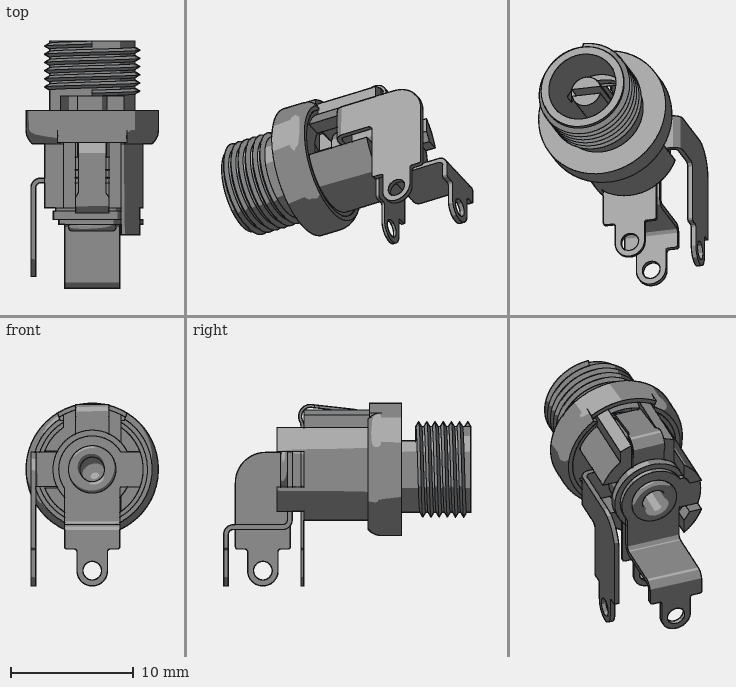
import cadquery as cq
import math


BARREL_RADIUS = 3.5
BARREL_END_Y = 5.65
BORE_RADIUS = 2.85
THREAD_RADIUS = 3.9
THREAD_PITCH = 2 / 3
THREAD_TURNS = 6
THREAD_BASE = 0.48
THREAD_START_Y = 1.395
THREAD_SINK = 0.02
NOTCH_DEPTH_Y = 1.15
NOTCH_HALF_WIDTH = 2.6

FLANGE_RADIUS = 5.4
FLANGE_REAR_Y = -2.63
RIM_HEIGHT = 0.11
RIM_REAR_Y = FLANGE_REAR_Y - RIM_HEIGHT
RIM_INNER_RADIUS = 4.5
RIM_OUTER_RADIUS = 4.88
LUG_HALF_WIDTH = 2.83
LUG_INNER_HALF_WIDTH = 2.62
LUG_INNER_Z = 4.0
LUG_FRONT_Y = -1.64

SLEEVE_RADIUS = 4.15
SLEEVE_REAR_Y = -7.96
FINGER_REAR_Y = -10.15
FINGER_INNER_X = 2.35
BLOCK_RADIUS = 5.03
SPRING_SLOT_HALF = 1.37
SPRING_SLOT_FRONT_Y = -0.8
WINDOW_HALF = 1.5
FINGER_GAP_HALF = 1.45

PIN_RADIUS = 1.25
SHEET = 0.4
BEND_INNER = 0.4
BEND_OUTER = BEND_INNER + SHEET

WASHER_FRONT_Y = -3.82
WASHER_REAR_Y = -4.83
WASHER_RADIUS = 2.25
COLLAR_FRONT_Y = -4.88
COLLAR_REAR_Y = -5.47
COLLAR_RADIUS = 2.6
SIDE_PLATE_FRONT_Y = -5.52
SIDE_PLATE_REAR_Y = SIDE_PLATE_FRONT_Y - SHEET
SPRING_SHEET = 0.25
SPRING_REAR_Y = SLEEVE_REAR_Y - SPRING_SHEET
DISC_RADIUS = 3.2
DISC_REAR_Y = -8.9
SPIGOT_RADIUS = 2.25
REAR_PLATE_REAR_Y = DISC_REAR_Y - SHEET

TAIL_WIDTH = 4.5
TAIL_TONGUE = 2.5
TAIL_HOLE = 1.5
TAIL_BOTTOM_Z = -9.5
TAIL_SHOULDER_Z = -6.5
TAIL_ROUND = 0.2


def box(x0, x1, y0, y1, z0, z1):
    """Box between the given limits."""
    return cq.Workplane("XY").box(x1 - x0, y1 - y0, z1 - z0, centered=False).translate((x0, y0, z0))


def rod(radius, y0, y1):
    """Cylinder on the barrel axis from y0 to y1."""
    return cq.Workplane("XZ", origin=(0, y1, 0)).circle(radius).extrude(y1 - y0)


def ring(outer, inner, y0, y1):
    """Tube on the barrel axis from y0 to y1, with the given outer and inner radii."""
    return rod(outer, y0, y1).cut(rod(inner, y0, y1))


def tail(top_z, thickness):
    """Solder tail in the XZ plane, from y = 0 to y = -thickness, with its tongue and wire hole."""
    tongue_radius = TAIL_TONGUE / 2
    hole_z = TAIL_BOTTOM_Z + tongue_radius
    outline = (
        cq.Workplane("XZ")
        .moveTo(-TAIL_WIDTH / 2, top_z)
        .lineTo(-TAIL_WIDTH / 2, TAIL_SHOULDER_Z)
        .lineTo(-tongue_radius, TAIL_SHOULDER_Z)
        .lineTo(-tongue_radius, hole_z)
        .threePointArc((0, TAIL_BOTTOM_Z), (tongue_radius, hole_z))
        .lineTo(tongue_radius, TAIL_SHOULDER_Z)
        .lineTo(TAIL_WIDTH / 2, TAIL_SHOULDER_Z)
        .lineTo(TAIL_WIDTH / 2, top_z)
        .close()
    )
    blank = outline.extrude(thickness)
    shoulders = cq.selectors.BoxSelector(
        (-TAIL_WIDTH, -thickness, TAIL_SHOULDER_Z - TAIL_ROUND),
        (TAIL_WIDTH, 0, TAIL_SHOULDER_Z + TAIL_ROUND),
    )
    blank = blank.edges("|Y").edges(shoulders).fillet(TAIL_ROUND)
    hole = cq.Workplane("XZ").center(0, hole_z).circle(TAIL_HOLE / 2).extrude(thickness)
    return blank.cut(hole)


def thread_ridge():
    """V-shaped ridge that starts at the top of the barrel and climbs towards +Y."""
    root = BARREL_RADIUS - THREAD_SINK
    root_half = THREAD_BASE / 2 * (THREAD_RADIUS - root) / (THREAD_RADIUS - BARREL_RADIUS)
    path = cq.Wire.makeHelix(THREAD_PITCH, THREAD_TURNS * THREAD_PITCH, root)
    ridge = (
        cq.Workplane("XZ")
        .polyline([(root, -root_half), (THREAD_RADIUS, 0), (root, root_half)])
        .close()
        .sweep(cq.Workplane(path), isFrenet=True)
    )
    upright = ridge.rotate((0, 0, 0), (0, 0, 1), -90)
    along_y = upright.rotate((0, 0, 0), (1, 0, 0), -90)
    return along_y.translate((0, THREAD_START_Y, 0))


def lug_sector():
    """Wedge at the top of the flange that holds the lug."""
    corner_z = math.sqrt(FLANGE_RADIUS**2 - LUG_HALF_WIDTH**2)
    return (
        cq.Workplane("XZ", origin=(0, LUG_FRONT_Y, 0))
        .polyline([
            (-LUG_INNER_HALF_WIDTH, LUG_INNER_Z),
            (LUG_INNER_HALF_WIDTH, LUG_INNER_Z),
            (LUG_HALF_WIDTH, corner_z),
            (LUG_HALF_WIDTH, FLANGE_RADIUS),
            (-LUG_HALF_WIDTH, FLANGE_RADIUS),
            (-LUG_HALF_WIDTH, corner_z),
        ])
        .close()
        .extrude(LUG_FRONT_Y - RIM_REAR_Y)
    )


def flange():
    """Flange with a rounded, rimmed rear edge and a square-edged lug over a tapered pocket."""
    body = (
        cq.Workplane("XY")
        .moveTo(0, 0)
        .lineTo(FLANGE_RADIUS, 0)
        .lineTo(FLANGE_RADIUS, LUG_FRONT_Y)
        .tangentArcPoint((RIM_OUTER_RADIUS, RIM_REAR_Y), relative=False)
        .lineTo(RIM_INNER_RADIUS, RIM_REAR_Y)
        .lineTo(RIM_INNER_RADIUS, FLANGE_REAR_Y)
        .lineTo(0, FLANGE_REAR_Y)
        .close()
        .revolve(360, (0, 0, 0), (0, 1, 0))
    )
    body = body.cut(lug_sector())
    lug = ring(FLANGE_RADIUS, BLOCK_RADIUS, FLANGE_REAR_Y, LUG_FRONT_Y)
    pocket_floor = (
        cq.Workplane("XY")
        .moveTo(0, LUG_FRONT_Y)
        .lineTo(BLOCK_RADIUS, LUG_FRONT_Y)
        .lineTo(RIM_INNER_RADIUS, FLANGE_REAR_Y)
        .lineTo(0, FLANGE_REAR_Y)
        .close()
        .revolve(360, (0, 0, 0), (0, 1, 0))
    )
    return body.union(lug.union(pocket_floor).intersect(lug_sector()))


def spring_cheeks():
    """Two cheeks on top of the sleeve, one on each side of the spring, that end under the lug."""
    block = box(-FINGER_INNER_X, FINGER_INNER_X, SLEEVE_REAR_Y, LUG_FRONT_Y, 0, BLOCK_RADIUS)
    gap = box(-SPRING_SLOT_HALF, SPRING_SLOT_HALF, SLEEVE_REAR_Y, LUG_FRONT_Y, 0, BLOCK_RADIUS)
    return block.cut(gap).intersect(rod(BLOCK_RADIUS, SLEEVE_REAR_Y, LUG_FRONT_Y))


def rear_fingers():
    """Two fingers on the +X side that reach past the sleeve and hold the rear terminal."""
    fingers = ring(SLEEVE_RADIUS, DISC_RADIUS, FINGER_REAR_Y, SLEEVE_REAR_Y)
    fingers = fingers.intersect(
        box(FINGER_INNER_X, SLEEVE_RADIUS, FINGER_REAR_Y, SLEEVE_REAR_Y, -SLEEVE_RADIUS, SLEEVE_RADIUS)
    )
    gap = box(0, SLEEVE_RADIUS, FINGER_REAR_Y, SLEEVE_REAR_Y, -FINGER_GAP_HALF, FINGER_GAP_HALF)
    return fingers.cut(gap)


def spring_slot():
    """Slot between the cheeks that runs on below the lug into the flange."""
    slot = box(-SPRING_SLOT_HALF, SPRING_SLOT_HALF, SLEEVE_REAR_Y, SPRING_SLOT_FRONT_Y, 0, BLOCK_RADIUS)
    reach = rod(BLOCK_RADIUS, SLEEVE_REAR_Y, FLANGE_REAR_Y)
    reach = reach.union(rod(RIM_INNER_RADIUS, FLANGE_REAR_Y, SPRING_SLOT_FRONT_Y))
    return slot.intersect(reach)


def make_housing():
    body = rod(BARREL_RADIUS, 0, BARREL_END_Y).union(thread_ridge())
    body = body.union(flange())
    body = body.union(rod(SLEEVE_RADIUS, SLEEVE_REAR_Y, FLANGE_REAR_Y))
    body = body.union(spring_cheeks()).union(rear_fingers())
    body = body.cut(rod(BORE_RADIUS, SLEEVE_REAR_Y, BARREL_END_Y))
    notch = box(-NOTCH_HALF_WIDTH, NOTCH_HALF_WIDTH, 0, NOTCH_DEPTH_Y, 0, BARREL_RADIUS)
    body = body.cut(notch)
    body = body.cut(spring_slot())
    window = box(-SLEEVE_RADIUS, 0, SLEEVE_REAR_Y, FLANGE_REAR_Y, -WINDOW_HALF, WINDOW_HALF)
    return body.cut(window)


PIN_TIP_Y = 4.6
PIN_SLOT_HALF = 0.3
PIN_SLOT_REAR_Y = WASHER_FRONT_Y
HEAD_RADIUS = 1.93
HEAD_HEIGHT = 0.55
HEAD_BASE_RADIUS = 1.85
HEAD_FLAT_RADIUS = 1.65
PIN_HOLE_RADIUS = 1.0
HOLE_MOUTH_ROUND = 0.45
PIN_HOLE_BOTTOM_Y = -6.5


def make_pin():
    """Split contact pin with a riveted head and a round-bottomed blind hole behind it."""
    head_y = REAR_PLATE_REAR_Y - HEAD_HEIGHT
    diagonal = math.sqrt(0.5)
    mouth_radius = PIN_HOLE_RADIUS + HOLE_MOUTH_ROUND
    mouth_y = head_y + HOLE_MOUTH_ROUND
    sphere_y = PIN_HOLE_BOTTOM_Y - PIN_HOLE_RADIUS
    pin = (
        cq.Workplane("XY")
        .moveTo(0, PIN_TIP_Y)
        .lineTo(PIN_RADIUS, PIN_TIP_Y)
        .lineTo(PIN_RADIUS, REAR_PLATE_REAR_Y)
        .lineTo(HEAD_BASE_RADIUS, REAR_PLATE_REAR_Y)
        .threePointArc(
            (HEAD_RADIUS, REAR_PLATE_REAR_Y - HEAD_HEIGHT / 2),
            (HEAD_FLAT_RADIUS, head_y),
        )
        .lineTo(mouth_radius, head_y)
        .threePointArc(
            (mouth_radius - HOLE_MOUTH_ROUND * diagonal, mouth_y - HOLE_MOUTH_ROUND * diagonal),
            (PIN_HOLE_RADIUS, mouth_y),
        )
        .lineTo(PIN_HOLE_RADIUS, sphere_y)
        .threePointArc(
            (PIN_HOLE_RADIUS * diagonal, sphere_y + PIN_HOLE_RADIUS * diagonal),
            (0, PIN_HOLE_BOTTOM_Y),
        )
        .close()
        .revolve(360, (0, 0, 0), (0, 1, 0))
    )
    slot = box(-PIN_RADIUS, PIN_RADIUS, PIN_SLOT_REAR_Y, PIN_TIP_Y, -PIN_SLOT_HALF, PIN_SLOT_HALF)
    return pin.cut(slot)


def make_front_washer():
    return ring(WASHER_RADIUS, PIN_RADIUS, WASHER_REAR_Y, WASHER_FRONT_Y)


def make_collar():
    return ring(COLLAR_RADIUS, PIN_RADIUS, COLLAR_REAR_Y, COLLAR_FRONT_Y)


def make_rear_insulator():
    """Stepped insulator: a plug in the bore, a spigot through the spring and a disc behind it."""
    body = rod(COLLAR_RADIUS, SLEEVE_REAR_Y, SIDE_PLATE_REAR_Y)
    body = body.union(rod(SPIGOT_RADIUS, SPRING_REAR_Y, SLEEVE_REAR_Y))
    body = body.union(rod(DISC_RADIUS, DISC_REAR_Y, SPRING_REAR_Y))
    return body.cut(rod(PIN_RADIUS, DISC_REAR_Y, SIDE_PLATE_REAR_Y))


SIDE_OUTER_X = -5.0
SIDE_STRAP_HALF = 1.4
SIDE_TAIL_Y = -11.3
SIDE_CORNER_ROUND = 2.5
SIDE_INNER_ROUND = 0.4


def make_side_terminal():
    """Ring around the pin, a strap out through the window and a plate bent to the rear."""
    plate_front_y = SIDE_TAIL_Y + TAIL_WIDTH / 2
    plate_rear_y = SIDE_TAIL_Y - TAIL_WIDTH / 2
    inner_x = SIDE_OUTER_X + SHEET
    washer = rod(COLLAR_RADIUS, SIDE_PLATE_REAR_Y, SIDE_PLATE_FRONT_Y)
    strap = (
        cq.Workplane("XY", origin=(0, 0, -SIDE_STRAP_HALF))
        .moveTo(0, SIDE_PLATE_FRONT_Y)
        .lineTo(SIDE_OUTER_X + BEND_OUTER, SIDE_PLATE_FRONT_Y)
        .tangentArcPoint((SIDE_OUTER_X, SIDE_PLATE_FRONT_Y - BEND_OUTER), relative=False)
        .lineTo(SIDE_OUTER_X, plate_front_y)
        .lineTo(inner_x, plate_front_y)
        .lineTo(inner_x, SIDE_PLATE_FRONT_Y - BEND_OUTER)
        .tangentArcPoint((inner_x + BEND_INNER, SIDE_PLATE_REAR_Y), relative=False)
        .lineTo(0, SIDE_PLATE_REAR_Y)
        .close()
        .extrude(2 * SIDE_STRAP_HALF)
    )
    plate = box(SIDE_OUTER_X, inner_x, plate_rear_y, plate_front_y, -SIDE_STRAP_HALF, SIDE_STRAP_HALF)
    leg = (
        tail(-SIDE_STRAP_HALF, SHEET)
        .rotate((0, 0, 0), (0, 0, 1), -90)
        .translate((inner_x, SIDE_TAIL_Y, 0))
    )
    body = strap.union(plate).union(leg).clean()
    rear_corner = cq.selectors.NearestToPointSelector((SIDE_OUTER_X, plate_rear_y, SIDE_STRAP_HALF))
    body = body.edges("|X").edges(rear_corner).fillet(SIDE_CORNER_ROUND)
    inner_corner = cq.selectors.NearestToPointSelector((SIDE_OUTER_X, plate_front_y, -SIDE_STRAP_HALF))
    body = body.edges("|X").edges(inner_corner).fillet(SIDE_INNER_ROUND)
    return body.union(washer).cut(rod(PIN_RADIUS, SIDE_PLATE_REAR_Y, SIDE_PLATE_FRONT_Y))


REAR_RING_RADIUS = 2.73
REAR_ARM_HALF = 1.43
REAR_TAIL_REAR_Y = -14.5
REAR_SHELF_Z = -4.5


def make_rear_terminal():
    """Ring with an arm between the housing fingers and a tail stepped back over a shelf."""
    shelf_bottom_z = REAR_SHELF_Z - SHEET
    tail_front_y = REAR_TAIL_REAR_Y + SHEET
    bend_top_z = REAR_SHELF_Z + BEND_INNER
    tail_top_z = REAR_SHELF_Z - BEND_OUTER
    half_width = TAIL_WIDTH / 2
    bulge = BEND_OUTER * (1 - math.sqrt(0.5))
    disc = rod(REAR_RING_RADIUS, REAR_PLATE_REAR_Y, DISC_REAR_Y)
    arm = box(0, SLEEVE_RADIUS, REAR_PLATE_REAR_Y, DISC_REAR_Y, -REAR_ARM_HALF, REAR_ARM_HALF)
    arm = arm.intersect(rod(SLEEVE_RADIUS, REAR_PLATE_REAR_Y, DISC_REAR_Y))
    outline = (
        cq.Workplane("YZ", origin=(-half_width, 0, 0))
        .moveTo(DISC_REAR_Y, 0)
        .lineTo(DISC_REAR_Y, bend_top_z)
        .tangentArcPoint((DISC_REAR_Y - BEND_OUTER, shelf_bottom_z), relative=False)
        .lineTo(tail_front_y + BEND_INNER, shelf_bottom_z)
        .tangentArcPoint((tail_front_y, tail_top_z), relative=False)
        .lineTo(REAR_TAIL_REAR_Y, tail_top_z)
        .threePointArc(
            (REAR_TAIL_REAR_Y + bulge, REAR_SHELF_Z - bulge),
            (REAR_TAIL_REAR_Y + BEND_OUTER, REAR_SHELF_Z),
        )
        .lineTo(REAR_PLATE_REAR_Y - BEND_INNER, REAR_SHELF_Z)
        .tangentArcPoint((REAR_PLATE_REAR_Y, bend_top_z), relative=False)
        .lineTo(REAR_PLATE_REAR_Y, 0)
        .close()
    )
    strip = outline.extrude(TAIL_WIDTH)
    leg = tail(tail_top_z, SHEET).translate((0, tail_front_y, 0))
    body = disc.union(arm).union(strip).union(leg)
    return body.cut(rod(PIN_RADIUS, REAR_PLATE_REAR_Y, DISC_REAR_Y))


SPRING_RING_RADIUS = 3.0
SPRING_HALF_WIDTH = 1.36
LEAF_HALF_WIDTH = 1.12
LEAF_TAPER_REAR_Y = -7.1
LEAF_TAPER_FRONT_Y = -6.72
LEAF_TIP_Y = -1.9
LEAF_TIP_Z = 3.2
SPRING_KICK_Z = 3.55
SPRING_KICK = 0.09
LOOP_START_Z = 3.93
LOOP_END_Y = -7.2
LOOP_END_Z = 5.15
LEAF_BEND_START_Y = -3.88
LEAF_BEND_START_Z = 4.78
LEAF_BEND_END_Y = -3.27
LEAF_BEND_END_Z = 4.5


def spring_strip():
    """Strip that climbs the sleeve end, loops forward and slopes down into the flange as a leaf."""
    mid_y = SLEEVE_REAR_Y - SPRING_SHEET / 2
    path = (
        cq.Workplane("YZ")
        .moveTo(mid_y, SPIGOT_RADIUS)
        .lineTo(mid_y, SPRING_KICK_Z)
        .tangentArcPoint((mid_y - SPRING_KICK, LOOP_START_Z), relative=False)
        .tangentArcPoint((LOOP_END_Y, LOOP_END_Z), relative=False)
        .lineTo(LEAF_BEND_START_Y, LEAF_BEND_START_Z)
        .tangentArcPoint((LEAF_BEND_END_Y, LEAF_BEND_END_Z), relative=False)
        .lineTo(LEAF_TIP_Y, LEAF_TIP_Z)
    )
    section = cq.Workplane("XY", origin=(0, mid_y, SPIGOT_RADIUS)).rect(2 * SPRING_HALF_WIDTH, SPRING_SHEET)
    return section.sweep(path, transition="right")


def leaf_trim(side):
    """Material beside the leaf on one side (-1 or +1) that makes it narrower than the loop."""
    outer_x = side * 2 * SPRING_HALF_WIDTH
    return (
        cq.Workplane("XY")
        .polyline([
            (outer_x, LEAF_TAPER_REAR_Y),
            (side * SPRING_HALF_WIDTH, LEAF_TAPER_REAR_Y),
            (side * LEAF_HALF_WIDTH, LEAF_TAPER_FRONT_Y),
            (side * LEAF_HALF_WIDTH, 0),
            (outer_x, 0),
        ])
        .close()
        .extrude(FLANGE_RADIUS)
    )


def make_spring():
    """Switch spring clamped between the sleeve and the insulator, with a thin solder tail."""
    strip = spring_strip()
    for side in (-1, 1):
        strip = strip.cut(leaf_trim(side))
    washer = rod(SPRING_RING_RADIUS, SPRING_REAR_Y, SLEEVE_REAR_Y)
    leg = tail(0, SPRING_SHEET).translate((0, SLEEVE_REAR_Y, 0))
    body = strip.union(washer).union(leg)
    return body.cut(rod(SPIGOT_RADIUS, SPRING_REAR_Y, SLEEVE_REAR_Y))


housing = make_housing()
pin = make_pin()
front_washer = make_front_washer()
collar = make_collar()
side_terminal = make_side_terminal()
rear_insulator = make_rear_insulator()
spring = make_spring()
rear_terminal = make_rear_terminal()

result = cq.Compound.makeCompound([
    housing.val(),
    pin.val(),
    front_washer.val(),
    collar.val(),
    side_terminal.val(),
    rear_insulator.val(),
    spring.val(),
    rear_terminal.val(),
])